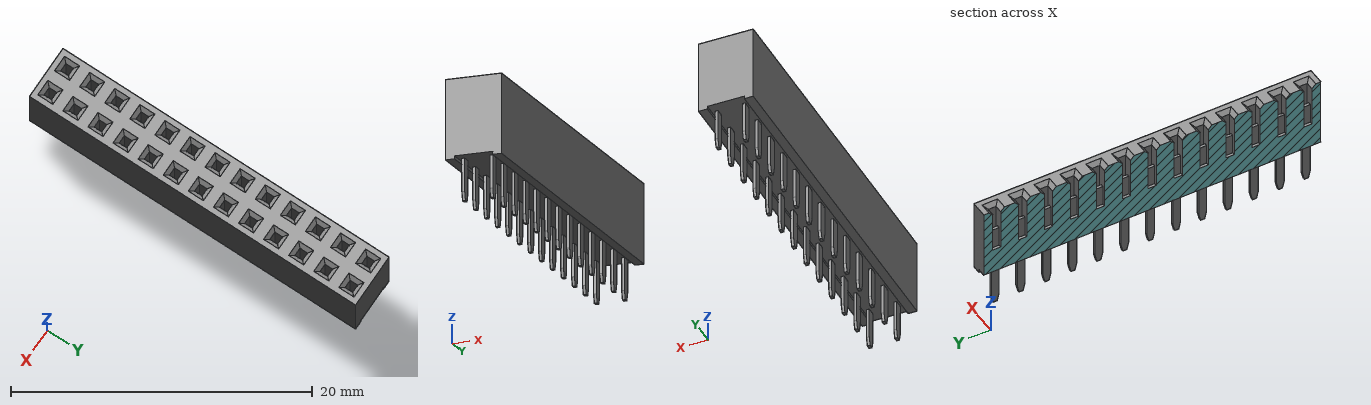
import cadquery as cq

BODY_LENGTH = 26.0
TOTAL_HEIGHT = 8.3
BODY_HEIGHT = 5.6

COLUMNS = 2
ROWS = 13
PITCH = BODY_LENGTH / ROWS
BODY_WIDTH = COLUMNS * PITCH

FOOT_WIDTH = 0.65
CHANNEL_DEPTH = 0.2

MOUTH_SIDE = 1.2
WELL_SIDE = 0.6
MOUTH_DEPTH = (MOUTH_SIDE - WELL_SIDE) / 2
WELL_DEPTH = 3.12

PIN_THICKNESS = 0.2
PIN_WIDTH = WELL_SIDE
PIN_RISE = 1.55
TIP_WIDTH = 0.3
TIP_HEIGHT = 0.6

WELL_FLOOR = BODY_HEIGHT - MOUTH_DEPTH - WELL_DEPTH
PIN_TOP = WELL_FLOOR + PIN_RISE
PIN_BOTTOM = BODY_HEIGHT - TOTAL_HEIGHT


def make_body():
    body = cq.Workplane("XY").box(BODY_WIDTH, BODY_LENGTH, BODY_HEIGHT, centered=(True, True, False))
    channel_width = BODY_WIDTH - 2 * FOOT_WIDTH
    channel = cq.Workplane("XY").box(channel_width, BODY_LENGTH, CHANNEL_DEPTH, centered=(True, True, False))
    return body.cut(channel)


def repeat_on_grid(shape):
    grid = cq.Workplane("XY").rarray(PITCH, PITCH, COLUMNS, ROWS)
    return grid.eachpoint(lambda location: shape.moved(location))


def make_sockets():
    mouth = (
        cq.Workplane("XY").workplane(offset=BODY_HEIGHT)
        .rect(MOUTH_SIDE, MOUTH_SIDE)
        .workplane(offset=-MOUTH_DEPTH)
        .rect(WELL_SIDE, WELL_SIDE)
        .loft(ruled=True)
    )
    well = (
        cq.Workplane("XY").workplane(offset=WELL_FLOOR)
        .rect(WELL_SIDE, WELL_SIDE)
        .extrude(WELL_DEPTH)
    )
    return repeat_on_grid(mouth.union(well).val())


def make_pins():
    pin = (
        cq.Workplane("YZ")
        .moveTo(-PIN_WIDTH / 2, PIN_TOP)
        .lineTo(PIN_WIDTH / 2, PIN_TOP)
        .lineTo(PIN_WIDTH / 2, PIN_BOTTOM + TIP_HEIGHT)
        .lineTo(TIP_WIDTH / 2, PIN_BOTTOM)
        .lineTo(-TIP_WIDTH / 2, PIN_BOTTOM)
        .lineTo(-PIN_WIDTH / 2, PIN_BOTTOM + TIP_HEIGHT)
        .close()
        .extrude(PIN_THICKNESS / 2, both=True)
        .val()
    )
    return repeat_on_grid(pin)


result = make_body().cut(make_sockets()).union(make_pins())